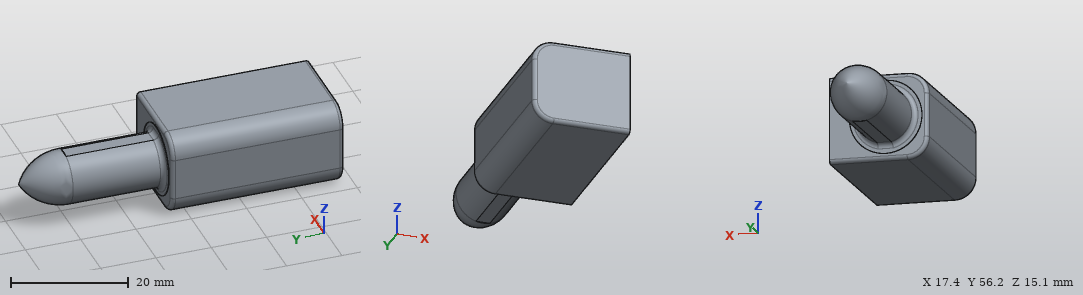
import cadquery as cq
import math

total_length = 56.15

block_width = 17.45
block_height = 15.1
block_length = 31.2
corner_radius = 3.75
rim_radius = 0.75

seat_radius = 6.4
seat_height = 0.1
seat_face = block_length + seat_height

pin_radius = 4.8
flat_width = 2.5
pin_x = 7.5
root_radius = 0.9
nose_length = 8.15
nose_start = total_length - nose_length


def make_block():
    """Block with rounded left corners and rounded end rims; the right side stays sharp."""
    block = cq.Workplane("XY").box(
        block_width, block_length, block_height, centered=(False, False, True)
    )
    block = block.edges("|Y and <X").fillet(corner_radius)
    rims = block.faces("<Y or >Y").edges().filter(
        lambda edge: edge.Center().x < block_width - rim_radius / 2
    )
    return rims.fillet(rim_radius)


def make_seat():
    """Thin disc on the end of the block, centred on the pin."""
    return (
        cq.Workplane("XZ", origin=(pin_x, block_length, 0))
        .circle(seat_radius)
        .extrude(-seat_height)
    )


def make_shank():
    """Round shank cut by two flats, from the block to the start of the nose."""
    flat_height = math.sqrt(pin_radius**2 - (flat_width / 2) ** 2)
    half_flat = flat_width / 2
    return (
        cq.Workplane("XZ", origin=(pin_x, block_length, 0))
        .moveTo(-half_flat, flat_height)
        .lineTo(half_flat, flat_height)
        .threePointArc((pin_radius, 0), (half_flat, -flat_height))
        .lineTo(-half_flat, -flat_height)
        .threePointArc((-pin_radius, 0), (-half_flat, flat_height))
        .close()
        .extrude(block_length - nose_start)
    )


def make_nose():
    """Pointed nose: an arc tangent to the shank, revolved about the pin axis."""
    arc_radius = (nose_length**2 + pin_radius**2) / (2 * pin_radius)
    half_angle = math.asin(nose_length / arc_radius) / 2
    arc_middle = (
        pin_radius - arc_radius * (1 - math.cos(half_angle)),
        arc_radius * math.sin(half_angle),
    )
    return (
        cq.Workplane("XY", origin=(pin_x, nose_start, 0))
        .lineTo(pin_radius, 0)
        .threePointArc(arc_middle, (0, nose_length))
        .close()
        .revolve(axisStart=(0, 0), axisEnd=(0, 1))
    )


def round_pin_root(body):
    """Fillet where the shank meets the seat."""
    reach = pin_radius + root_radius / 2
    root = cq.selectors.BoxSelector(
        (pin_x - reach, seat_face - root_radius / 2, -reach),
        (pin_x + reach, seat_face + root_radius / 2, reach),
        boundingbox=True,
    )
    return body.edges(root).fillet(root_radius)


body = make_block().union(make_seat()).union(make_shank())
result = round_pin_root(body).union(make_nose())